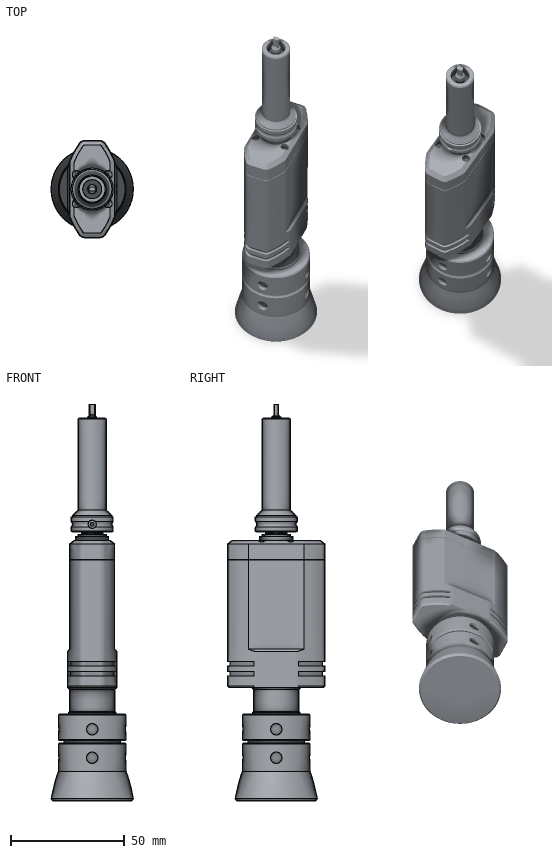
import cadquery as cq
import math

FOOT_RADIUS = 18.21
FOOT_BOTTOM_RADIUS = 17.4
FOOT_CHAMFER_HEIGHT = 1.0
FLARE_MID_RADIUS = 16.95
FLARE_MID_Z = 6.8
FLARE_TOP_RADIUS = 15.2
FLARE_TOP_Z = 12.6
FLARE_STEP_TOP = 13.0
COLLAR_RADIUS = 15.0
COLLAR_CHAMFER = 0.5
COLLAR_JOINT_RADIUS = 12.6
LOWER_COLLAR_TOP = 25.6
UPPER_COLLAR_BOTTOM = 26.7
UPPER_COLLAR_TOP = 38.4
COLLAR_HOLE_RADIUS = 2.5
COLLAR_HOLE_DEPTH = 2.0
COLLAR_HOLE_HEIGHTS = (19.1, 31.7)
COLLAR_HOLE_COUNT = 4

NECK_RADIUS = 10.0
NECK_FOOT_RADIUS = 10.6
NECK_FOOT_CHAMFER_Z = 39.0
NECK_FOOT_TOP = 39.5
NECK_TOP = 49.3
NECK_HEAD_RADIUS = 10.9
NECK_HEAD_TOP = 50.8

BODY_BOTTOM = 50.1
BODY_TOP = 115.2
BODY_DEPTH = 42.97
BODY_HALF_DEPTH = BODY_DEPTH / 2
END_FLAT_HALF_WIDTH = 3.4
END_CORNER_X = 6.1
END_CORNER_Y = 19.6
END_ROUND_MID_X = 5.05
END_ROUND_MID_Y = 20.9
SIDE_HALF_WIDTH = 10.95
SIDE_FLAT_HALF_DEPTH = 8.8
SIDE_CORNER_X = 10.75
SIDE_CORNER_Y = 9.9
SHOULDER_MID_X = 8.9
SHOULDER_MID_Y = 14.8
BODY_BOTTOM_CHAMFER = 0.7
BODY_BOTTOM_TAPER = 45
BODY_TOP_CHAMFER_SIDE = 2.0
BODY_TOP_CHAMFER_HEIGHT = 1.6
SIDE_CUT_HALF_WIDTH = 9.95
SIDE_CUT_BOTTOM = 66.0
SIDE_CUT_SLOPE_TOP = 67.2
SEAM_Z = 106.6
SEAM_WIDTH = 0.3
SEAM_DEPTH = 0.2
GRIP_GROOVE_BOTTOMS = (55.3, 59.6)
GRIP_GROOVE_WIDTH = 2.0
GRIP_GROOVE_DEPTH = 1.0
SCREW_HOLE_X = 7.0
SCREW_HOLE_Y = 6.4
SCREW_HOLE_RADIUS = 1.8
SCREW_HOLE_FLOOR = 112.5

BOSS_RADIUS = 7.3
BOSS_RIM_TOP = 116.9
BOSS_TOP_RADIUS = 6.3
BOSS_TOP = 117.8
STEM_RADIUS = 4.8
STEM_GROOVE_COUNT = 24
STEM_GROOVE_WIDTH = 0.5
STEM_GROOVE_DEPTH = 0.4
HUB_BOTTOM = 118.9
HUB_RADIUS = 9.3
HUB_CHAMFER = 0.5
HUB_WAIST_RADIUS = 8.8
HUB_WAIST_BOTTOM = 121.1
HUB_WAIST_TOP = 123.6
HUB_RIM_TOP = 125.5
HUB_CONE_RADIUS = 8.7
HUB_CONE_BOTTOM = 126.2
HUB_TOP = 128.6
SETSCREW_Z = (HUB_WAIST_BOTTOM + HUB_WAIST_TOP) / 2
SETSCREW_RADIUS = 1.8
SETSCREW_DEPTH = 1.0
SETSCREW_SOCKET_SIDES = 6
SETSCREW_SOCKET_DIAMETER = 1.8
SETSCREW_SOCKET_DEPTH = 1.5

TUBE_RADIUS = 6.25
TUBE_TOP = 169.3
TUBE_CHAMFER = 0.5
TUBE_BORE_RADIUS = 4.2
TUBE_BORE_DEPTH = 5.0
PIN_TOP = 175.35
PIN_BASE_RADIUS = 2.0
PIN_BASE_CHAMFER = 1.1
PIN_CONE_TOP = 170.8
PIN_RADIUS = 1.4
PIN_HALF_THICKNESS = 0.9


def cylinder(radius, bottom, top):
    return cq.Workplane("XY").workplane(offset=bottom).circle(radius).extrude(top - bottom)


def make_foot_and_neck():
    joint_low = LOWER_COLLAR_TOP - COLLAR_CHAMFER
    joint_high = UPPER_COLLAR_BOTTOM + COLLAR_CHAMFER
    chamfered_radius = COLLAR_RADIUS - COLLAR_CHAMFER
    foot = (
        cq.Workplane("XZ")
        .moveTo(0, 0)
        .lineTo(FOOT_BOTTOM_RADIUS, 0)
        .lineTo(FOOT_RADIUS, FOOT_CHAMFER_HEIGHT)
        .threePointArc((FLARE_MID_RADIUS, FLARE_MID_Z), (FLARE_TOP_RADIUS, FLARE_TOP_Z))
        .lineTo(COLLAR_RADIUS, FLARE_STEP_TOP)
        .lineTo(COLLAR_RADIUS, joint_low)
        .lineTo(chamfered_radius, LOWER_COLLAR_TOP)
        .lineTo(COLLAR_JOINT_RADIUS, LOWER_COLLAR_TOP)
        .lineTo(COLLAR_JOINT_RADIUS, UPPER_COLLAR_BOTTOM)
        .lineTo(chamfered_radius, UPPER_COLLAR_BOTTOM)
        .lineTo(COLLAR_RADIUS, joint_high)
        .lineTo(COLLAR_RADIUS, UPPER_COLLAR_TOP - COLLAR_CHAMFER)
        .lineTo(chamfered_radius, UPPER_COLLAR_TOP)
        .lineTo(NECK_FOOT_RADIUS, UPPER_COLLAR_TOP)
        .lineTo(NECK_FOOT_RADIUS, NECK_FOOT_CHAMFER_Z)
        .lineTo(NECK_RADIUS, NECK_FOOT_TOP)
        .lineTo(NECK_RADIUS, NECK_TOP)
        .lineTo(NECK_HEAD_RADIUS, BODY_BOTTOM)
        .lineTo(NECK_HEAD_RADIUS, NECK_HEAD_TOP)
        .lineTo(0, NECK_HEAD_TOP)
        .close()
        .revolve(360, (0, 0, 0), (0, 1, 0))
    )
    hole_start = COLLAR_RADIUS - COLLAR_HOLE_DEPTH
    for height in COLLAR_HOLE_HEIGHTS:
        for index in range(COLLAR_HOLE_COUNT):
            hole = (
                cq.Workplane("YZ", origin=(hole_start, 0, height))
                .circle(COLLAR_HOLE_RADIUS)
                .extrude(2 * COLLAR_HOLE_DEPTH)
                .rotate((0, 0, 0), (0, 0, 1), index * 360 / COLLAR_HOLE_COUNT)
            )
            foot = foot.cut(hole)
    return foot


def body_outline(bottom):
    """Body outline at the given height, running anticlockwise from the -Y end of its +X flat."""

    def corner(x_sign, y_sign, x, y):
        return (x_sign * x, y_sign * y)

    outline = cq.Workplane("XY").workplane(offset=bottom).moveTo(SIDE_HALF_WIDTH, -SIDE_FLAT_HALF_DEPTH)
    for sign in (1, -1):
        outline = outline.lineTo(*corner(sign, sign, SIDE_HALF_WIDTH, SIDE_FLAT_HALF_DEPTH))
        outline = outline.lineTo(*corner(sign, sign, SIDE_CORNER_X, SIDE_CORNER_Y))
        outline = outline.threePointArc(
            corner(sign, sign, SHOULDER_MID_X, SHOULDER_MID_Y),
            corner(sign, sign, END_CORNER_X, END_CORNER_Y),
        )
        outline = outline.threePointArc(
            corner(sign, sign, END_ROUND_MID_X, END_ROUND_MID_Y),
            corner(sign, sign, END_FLAT_HALF_WIDTH, BODY_HALF_DEPTH),
        )
        outline = outline.lineTo(*corner(-sign, sign, END_FLAT_HALF_WIDTH, BODY_HALF_DEPTH))
        outline = outline.threePointArc(
            corner(-sign, sign, END_ROUND_MID_X, END_ROUND_MID_Y),
            corner(-sign, sign, END_CORNER_X, END_CORNER_Y),
        )
        outline = outline.threePointArc(
            corner(-sign, sign, SHOULDER_MID_X, SHOULDER_MID_Y),
            corner(-sign, sign, SIDE_CORNER_X, SIDE_CORNER_Y),
        )
        if sign == 1:
            outline = outline.lineTo(-SIDE_HALF_WIDTH, SIDE_FLAT_HALF_DEPTH)
    return outline.close()


def cut_side_flats(body):
    """Flatten the sides above the central block, which ends in a slope up to the flats."""
    slope_run = SIDE_HALF_WIDTH - SIDE_CUT_HALF_WIDTH
    outside = SIDE_HALF_WIDTH + slope_run
    slope_rise = SIDE_CUT_SLOPE_TOP - SIDE_CUT_BOTTOM
    flat = (
        cq.Workplane("XZ")
        .moveTo(SIDE_CUT_HALF_WIDTH, SIDE_CUT_SLOPE_TOP)
        .lineTo(outside, SIDE_CUT_BOTTOM - slope_rise)
        .lineTo(outside, BODY_TOP)
        .lineTo(SIDE_CUT_HALF_WIDTH, BODY_TOP)
        .close()
        .extrude(BODY_HALF_DEPTH, both=True)
    )
    return body.cut(flat).cut(flat.mirror("YZ"))


def ring_cut(bottom, width, depth):
    """Ring around the body that reaches the given depth inside its outline."""
    outer = body_outline(bottom).offset2D(depth).extrude(width)
    inner = body_outline(bottom).offset2D(-depth).extrude(width)
    return outer.cut(inner)


def make_body():
    wall_bottom = BODY_BOTTOM + BODY_BOTTOM_CHAMFER
    wall_top = BODY_TOP - BODY_TOP_CHAMFER_HEIGHT
    top_taper = math.degrees(math.atan2(BODY_TOP_CHAMFER_SIDE, BODY_TOP_CHAMFER_HEIGHT))
    walls = cut_side_flats(body_outline(wall_bottom).extrude(wall_top - wall_bottom))
    top_bevel = walls.faces(">Z").wires().toPending().workplane().extrude(
        BODY_TOP_CHAMFER_HEIGHT, taper=top_taper, combine=False
    )
    bottom_bevel = body_outline(wall_bottom).extrude(-BODY_BOTTOM_CHAMFER, taper=BODY_BOTTOM_TAPER)
    unbevelled_foot = body_outline(BODY_BOTTOM).extrude(BODY_BOTTOM_CHAMFER).intersect(make_central_band())
    body = walls.union(top_bevel).union(bottom_bevel).union(unbevelled_foot)
    return cut_screw_holes(cut_seam(cut_grip_grooves(body)))


def make_central_band():
    """Block around the middle of the body, between the inner ends of the grip grooves."""
    return cq.Workplane("XY").box(4 * SIDE_HALF_WIDTH, 2 * SIDE_CORNER_Y, 4 * BODY_TOP)


def cut_grip_grooves(body):
    central_band = make_central_band()
    for bottom in GRIP_GROOVE_BOTTOMS:
        groove = ring_cut(bottom, GRIP_GROOVE_WIDTH, GRIP_GROOVE_DEPTH)
        body = body.cut(groove.cut(central_band))
    return body


def cut_seam(body):
    seam_bottom = SEAM_Z - SEAM_WIDTH / 2
    seam_core_half_width = SIDE_CUT_HALF_WIDTH - SEAM_DEPTH
    seam_core_limit = cq.Workplane("XY").box(2 * seam_core_half_width, 4 * BODY_HALF_DEPTH, 4 * BODY_TOP)
    seam_core = body_outline(seam_bottom).offset2D(-SEAM_DEPTH).extrude(SEAM_WIDTH).intersect(seam_core_limit)
    outer = body_outline(seam_bottom).offset2D(SEAM_DEPTH).extrude(SEAM_WIDTH)
    return body.cut(outer.cut(seam_core))


def cut_screw_holes(body):
    screw_holes = (
        cq.Workplane("XY")
        .workplane(offset=SCREW_HOLE_FLOOR)
        .rect(2 * SCREW_HOLE_X, 2 * SCREW_HOLE_Y, forConstruction=True)
        .vertices()
        .circle(SCREW_HOLE_RADIUS)
        .extrude(BODY_TOP - SCREW_HOLE_FLOOR)
    )
    return body.cut(screw_holes)


def make_tip_holder():
    tip = (
        cq.Workplane("XZ")
        .moveTo(0, BODY_TOP - BODY_TOP_CHAMFER_HEIGHT)
        .lineTo(BOSS_RADIUS, BODY_TOP - BODY_TOP_CHAMFER_HEIGHT)
        .lineTo(BOSS_RADIUS, BOSS_RIM_TOP)
        .lineTo(BOSS_TOP_RADIUS, BOSS_RIM_TOP)
        .lineTo(BOSS_TOP_RADIUS, BOSS_TOP)
        .lineTo(STEM_RADIUS, BOSS_TOP)
        .lineTo(STEM_RADIUS, HUB_BOTTOM)
        .lineTo(HUB_RADIUS - HUB_CHAMFER, HUB_BOTTOM)
        .lineTo(HUB_RADIUS, HUB_BOTTOM + HUB_CHAMFER)
        .lineTo(HUB_RADIUS, HUB_WAIST_BOTTOM)
        .threePointArc((HUB_WAIST_RADIUS, SETSCREW_Z), (HUB_RADIUS, HUB_WAIST_TOP))
        .lineTo(HUB_RADIUS, HUB_RIM_TOP)
        .lineTo(HUB_CONE_RADIUS, HUB_RIM_TOP)
        .lineTo(HUB_CONE_RADIUS, HUB_CONE_BOTTOM)
        .lineTo(TUBE_RADIUS, HUB_TOP)
        .lineTo(TUBE_RADIUS, TUBE_TOP - TUBE_CHAMFER)
        .lineTo(TUBE_RADIUS - TUBE_CHAMFER, TUBE_TOP)
        .lineTo(TUBE_BORE_RADIUS, TUBE_TOP)
        .lineTo(TUBE_BORE_RADIUS, TUBE_TOP - TUBE_BORE_DEPTH)
        .lineTo(0, TUBE_TOP - TUBE_BORE_DEPTH)
        .close()
        .revolve(360, (0, 0, 0), (0, 1, 0))
    )
    return cut_setscrew(cut_stem_grooves(tip))


def cut_stem_grooves(tip):
    groove = cq.Workplane("XY").box(2 * STEM_GROOVE_DEPTH, STEM_GROOVE_WIDTH, HUB_BOTTOM - BOSS_TOP)
    groove = groove.translate((STEM_RADIUS, 0, (HUB_BOTTOM + BOSS_TOP) / 2))
    for index in range(STEM_GROOVE_COUNT):
        tip = tip.cut(groove.rotate((0, 0, 0), (0, 0, 1), index * 360 / STEM_GROOVE_COUNT))
    return tip


def cut_setscrew(tip):
    """Recess a setscrew with a hexagonal socket into the -Y side of the hub."""
    screw_face = SETSCREW_DEPTH - HUB_RADIUS
    recess = (
        cq.Workplane("XZ", origin=(0, screw_face, SETSCREW_Z))
        .circle(SETSCREW_RADIUS)
        .extrude(2 * SETSCREW_DEPTH)
    )
    socket = (
        cq.Workplane("XZ", origin=(0, screw_face + SETSCREW_SOCKET_DEPTH, SETSCREW_Z))
        .polygon(SETSCREW_SOCKET_SIDES, SETSCREW_SOCKET_DIAMETER)
        .extrude(SETSCREW_SOCKET_DEPTH)
    )
    return tip.cut(recess).cut(socket)


def make_pin():
    bottom = TUBE_TOP - TUBE_BORE_DEPTH
    base = cylinder(PIN_BASE_RADIUS, bottom, PIN_CONE_TOP)
    base = base.faces(">Z").chamfer(PIN_BASE_CHAMFER)
    pin = cylinder(PIN_RADIUS, bottom, PIN_TOP)
    slab = cq.Workplane("XY").box(4 * PIN_RADIUS, 2 * PIN_HALF_THICKNESS, 4 * PIN_TOP)
    return base.union(pin.intersect(slab))


result = make_foot_and_neck().union(make_body()).union(make_tip_holder()).union(make_pin())